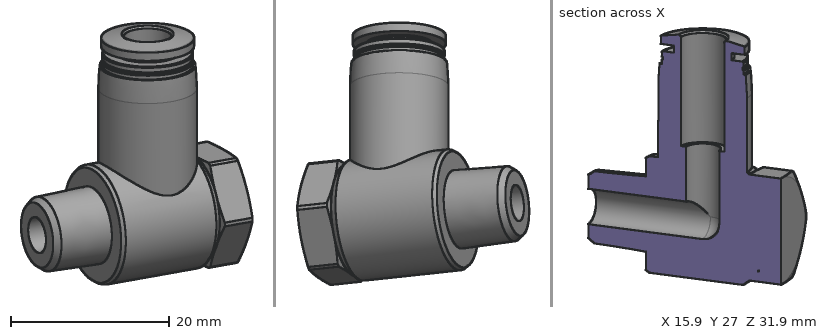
import cadquery as cq
import math


body_radius = 15.4 / 2
body_front = -7.98
body_back = 6.5
front_bevel_length = 0.5
front_bevel_depth = 0.32
back_bevel_length = 0.85
back_bevel_depth = 0.65
stem_end = -16.0
stem_root_radius = 10.0 / 2
stem_tip_radius = 9.57 / 2
stem_bevel_length = 0.85
stem_face_radius = 8.35 / 2

hex_across_flats = 14.0
hex_corner_diameter = 15.9
hex_back = 10.97
hex_bevel_length = 0.22

total_height = 31.9
socket_top = total_height - body_radius
socket_radius = 12.5 / 2
shoulder_radius = 12.12 / 2
taper_start = 17.0
shoulder_height = 20.03

collar_radius = 11.5 / 2
groove_bottom = 20.67
groove_top = 20.85
groove_depth = 0.15
collar_top = 21.72
collar_edge = 0.13

neck_radius = 8.1 / 2
neck_flare = 0.13
button_radius = 11.8 / 2
button_bottom = 22.6
button_edge = 23.67
button_bevel_height = 0.1
button_bevel_depth = 0.2
button_lip_radius = 6.57 / 2

flow_radius = 4.6 / 2
tube_radius = 6.0 / 2
tube_bore_bottom = 9.57


def revolve_about_z(profile):
    """Revolve a closed (radius, height) profile about Z."""
    return profile.close().revolve(360, (0, 0, 0), (0, 1, 0))


def revolve_about_y(points):
    """Revolve a closed (radius, y) polygon about Y."""
    return cq.Workplane("XY").polyline(points).close().revolve(360, (0, 0, 0), (0, 1, 0))


def make_body_and_stem():
    return revolve_about_y([
        (0, stem_end),
        (stem_face_radius, stem_end),
        (stem_tip_radius, stem_end + stem_bevel_length),
        (stem_root_radius, body_front),
        (body_radius - front_bevel_depth, body_front),
        (body_radius, body_front + front_bevel_length),
        (body_radius, body_back - back_bevel_length),
        (body_radius - back_bevel_depth, body_back),
        (0, body_back),
    ])


def make_hex_head():
    """Hexagon with corners on X, trimmed by a turned blank with bevelled ends."""
    hexagon = (
        cq.Workplane("XZ", origin=(0, hex_back, 0))
        .polygon(6, hex_across_flats / math.cos(math.radians(30)))
        .extrude(hex_back - body_back)
    )
    face_radius = hex_across_flats / 2
    corner_radius = hex_corner_diameter / 2
    blank = revolve_about_y([
        (0, body_back),
        (face_radius, body_back),
        (corner_radius, body_back + hex_bevel_length),
        (corner_radius, hex_back - hex_bevel_length),
        (face_radius, hex_back),
        (0, hex_back),
    ])
    return hexagon.intersect(blank)


def make_socket():
    """Socket barrel with its curved taper, collar rings and conical-topped release button."""
    profile = (
        cq.Workplane("XZ")
        .lineTo(socket_radius, 0)
        .lineTo(socket_radius, taper_start)
        .tangentArcPoint((shoulder_radius, shoulder_height), relative=False)
        .lineTo(collar_radius, shoulder_height)
        .lineTo(collar_radius, groove_bottom - collar_edge)
        .lineTo(collar_radius - groove_depth, groove_bottom)
        .lineTo(collar_radius - groove_depth, groove_top)
        .lineTo(collar_radius, groove_top + collar_edge)
        .lineTo(collar_radius, collar_top - collar_edge)
        .lineTo(collar_radius - collar_edge, collar_top)
        .lineTo(neck_radius, collar_top)
        .lineTo(neck_radius, button_bottom - neck_flare)
        .lineTo(neck_radius + neck_flare, button_bottom)
        .lineTo(button_radius, button_bottom)
        .lineTo(button_radius, button_edge)
        .lineTo(button_radius - button_bevel_depth, button_edge + button_bevel_height)
        .lineTo(button_lip_radius, socket_top)
        .lineTo(0, socket_top)
    )
    return revolve_about_z(profile)


def make_bores():
    """Round elbow passage from the stem to the socket, widened for the tube."""
    stem_bore = cq.Workplane("XZ").circle(flow_radius).extrude(-stem_end)
    socket_bore = cq.Workplane("XY").circle(flow_radius).extrude(socket_top)
    elbow = cq.Workplane("XY").sphere(flow_radius)
    lip_bevel = button_lip_radius - tube_radius
    tube_bore = revolve_about_z(
        cq.Workplane("XZ")
        .moveTo(0, tube_bore_bottom)
        .lineTo(tube_radius, tube_bore_bottom)
        .lineTo(tube_radius, socket_top - lip_bevel)
        .lineTo(button_lip_radius, socket_top)
        .lineTo(0, socket_top)
    )
    return stem_bore.union(socket_bore).union(elbow).union(tube_bore)


solid_fitting = make_body_and_stem().union(make_hex_head()).union(make_socket())
result = solid_fitting.cut(make_bores())